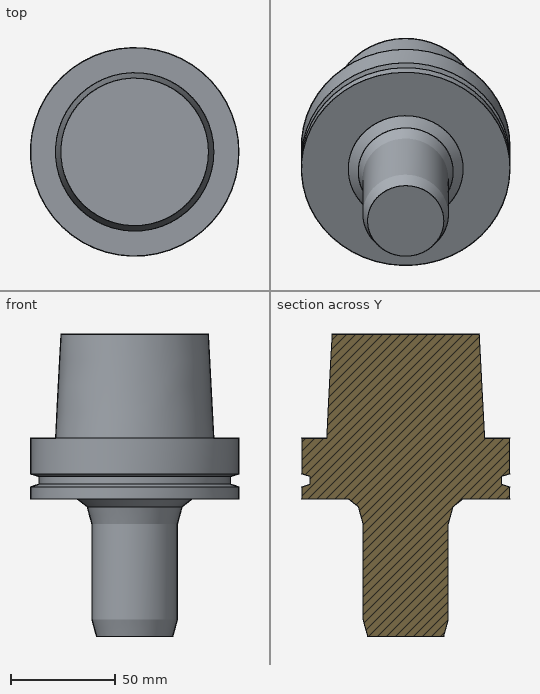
import cadquery as cq

total_height = 145.0
head_height = 49.9
flange_height = 29.1
flange_top = total_height - head_height
flange_bottom = flange_top - flange_height

head_top_radius = 35.4
head_base_radius = 38.0

flange_radius = 100.0 / 2
groove_radius = 92.0 / 2
groove_floor_bottom = 73.1
groove_floor_width = 3.6
groove_bevel_height = 1.3
groove_floor_top = groove_floor_bottom + groove_floor_width

shank_radius = 41.0 / 2
tip_radius = 18.3
tip_height = 8.1
neck_bottom = 54.0
neck_break_radius = 22.8
neck_break_height = 62.2
flare_base_radius = 27.5

profile = (
    cq.Workplane("XZ")
    .lineTo(tip_radius, 0)
    .lineTo(shank_radius, tip_height)
    .lineTo(shank_radius, neck_bottom)
    .lineTo(neck_break_radius, neck_break_height)
    .lineTo(flare_base_radius, flange_bottom)
    .lineTo(flange_radius, flange_bottom)
    .lineTo(flange_radius, groove_floor_bottom - groove_bevel_height)
    .lineTo(groove_radius, groove_floor_bottom)
    .lineTo(groove_radius, groove_floor_top)
    .lineTo(flange_radius, groove_floor_top + groove_bevel_height)
    .lineTo(flange_radius, flange_top)
    .lineTo(head_base_radius, flange_top)
    .lineTo(head_top_radius, total_height)
    .lineTo(0, total_height)
    .close()
)

result = profile.revolve(360, (0, 0, 0), (0, 1, 0))